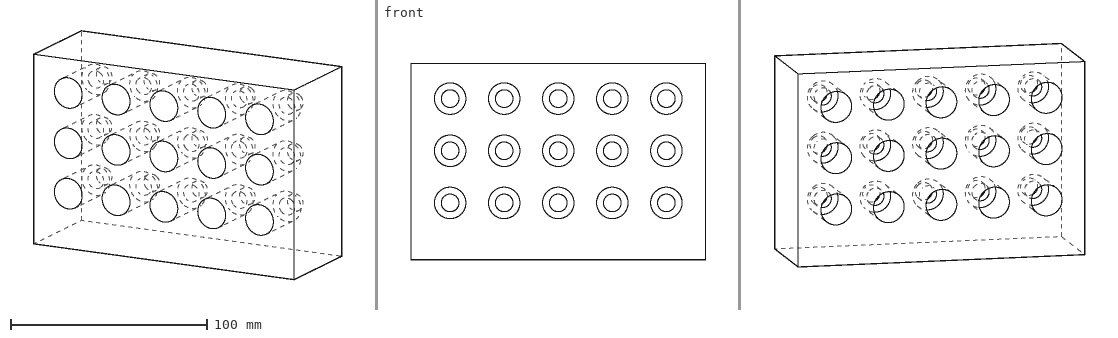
import cadquery as cq

length = 150.0
depth = 52.0
height = 100.0

columns = 5
rows = 3
side_margin = 20.0
column_pitch = (length - 2 * side_margin) / (columns - 1)
row_pitch = 26.5
grid_rise = 5.5

mouth_diameter = 16.0
mouth_depth = 30.0
inner_diameter = 9.0
total_hole_depth = 39.0


def make_block():
    return cq.Workplane("XY").box(length, depth, height)


def drill_hole_grid(block):
    return (
        block.faces("<Y")
        .workplane(origin=(0, -depth / 2, grid_rise))
        .rarray(column_pitch, row_pitch, columns, rows)
        .cboreHole(inner_diameter, mouth_diameter, mouth_depth, total_hole_depth)
    )


result = drill_hole_grid(make_block())